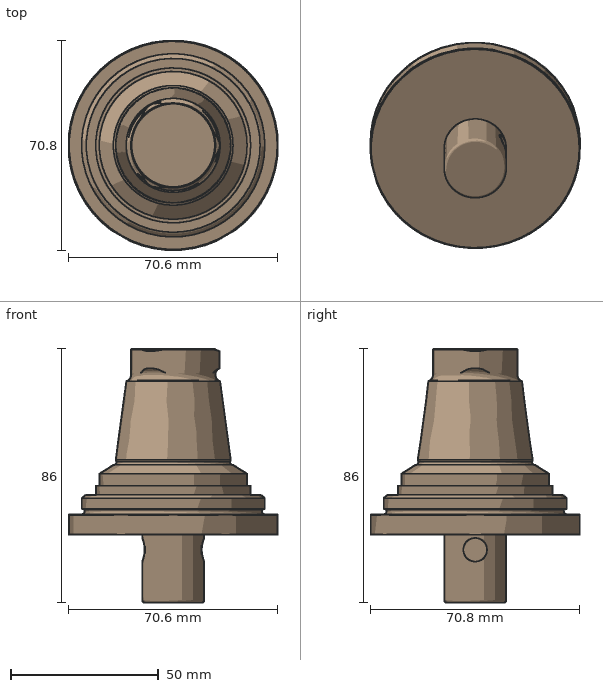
import cadquery as cq
import math


shank_radius = 10.5
shank_length = 23.0
shank_end_fillet = 1.0
dimple_diameter = 8.0
dimple_depth = 1.0
dimple_z = -5.0

flange_radius = 35.5
flange_thickness = 7.0
flange_chamfer = 0.3
main_flat_distance = 35.3
main_flat_angles = (0, 180, 240, 300)
side_flat_distance = 35.4
side_flat_angles = (90, 270)

neck_fillet = 1.0
collar_neck_radius = 60.1 / 2
collar_radius = 62.0 / 2
collar_bottom_z = 8.9
collar_undercut = 0.4
collar_top_z = 13.6
collar_bevel_width = 1.1
collar_bevel_height = 0.9
collar_lip_width = 0.5
collar_lip_height = 0.2
lower_step_radius = 52.4 / 2
lower_step_top_z = 16.7
upper_step_radius = 50.0 / 2
upper_step_top_z = 20.7
shoulder_top_z = 23.7

taper_neck_radius = 19.25
taper_bottom_radius = 19.5
taper_bottom_z = 25.4
taper_top_radius = 15.9
taper_top_z = 52.0
taper_edge_height = 0.25

groove_section_radius = 2.4
groove_floor_radius = 14.3
groove_z = 54.2

head_radius = 14.35
head_top_z = 63.0
head_edge_chamfer = 0.3
lobe_bevel_angle = 23.0
lobe_tip_radius = 15.7
lobe_nose_radius = 4.75
lobe_root_half_angle = 22.5
lobe_angles = (0, 120, 240)


def polar(radius, angle):
    """Point at a radius and an angle in degrees."""
    return radius * math.cos(math.radians(angle)), radius * math.sin(math.radians(angle))


def groove_radius_at(z):
    """Distance from the axis to the groove surface at a height."""
    reach = math.sqrt(groove_section_radius**2 - (z - groove_z) ** 2)
    return groove_floor_radius + groove_section_radius - reach


def make_shank():
    """Plain pin with a rounded end and a round dimple on each X side."""
    shank = cq.Workplane("XY").circle(shank_radius).extrude(-shank_length)
    shank = shank.faces("<Z").edges().fillet(shank_end_fillet)
    floor_x = shank_radius - dimple_depth
    cutter = cq.Workplane("YZ").center(0, dimple_z).circle(dimple_diameter / 2).extrude(2 * dimple_depth)
    for cutter_x, side_angle in ((floor_x, 0), (floor_x, 180)):
        dimple = cutter.translate((cutter_x, 0, 0)).rotate((0, 0, 0), (0, 0, 1), side_angle)
        shank = shank.cut(dimple)
    return shank


def cut_flat(body, distance, angle):
    """Trim the flange rim to a flat at a distance from the axis."""
    block = cq.Workplane("XY").box(
        flange_radius, flange_radius, flange_thickness, centered=(False, True, False)
    )
    return body.cut(block.translate((distance, 0, 0)).rotate((0, 0, 0), (0, 0, 1), angle))


def make_flange():
    """Disc with broken edges and shallow flats on its rim."""
    flange = cq.Workplane("XY").circle(flange_radius).extrude(flange_thickness)
    flange = flange.faces("<Z or >Z").edges().chamfer(flange_chamfer)
    for angle in main_flat_angles:
        flange = cut_flat(flange, main_flat_distance, angle)
    for angle in side_flat_angles:
        flange = cut_flat(flange, side_flat_distance, angle)
    return flange


def make_body():
    """Revolved collar, shoulder, taper and lower half of the groove."""
    fillet_dip = neck_fillet * (1 - math.sqrt(0.5))
    lip_radius = collar_radius - collar_bevel_width
    lip_z = collar_top_z - collar_lip_height
    groove_end_z = taper_top_z + taper_edge_height
    profile = (
        cq.Workplane("XZ")
        .moveTo(0, 0)
        .lineTo(collar_neck_radius + neck_fillet, 0)
        .lineTo(collar_neck_radius + neck_fillet, flange_thickness)
        .threePointArc(
            (collar_neck_radius + fillet_dip, flange_thickness + fillet_dip),
            (collar_neck_radius, flange_thickness + neck_fillet),
        )
        .lineTo(collar_neck_radius, collar_bottom_z - collar_undercut)
        .lineTo(collar_radius, collar_bottom_z)
        .lineTo(collar_radius, lip_z - collar_bevel_height)
        .lineTo(lip_radius, lip_z)
        .lineTo(lip_radius - collar_lip_width, collar_top_z)
        .lineTo(lower_step_radius, collar_top_z)
        .lineTo(lower_step_radius, lower_step_top_z)
        .lineTo(upper_step_radius, lower_step_top_z)
        .lineTo(upper_step_radius, upper_step_top_z)
        .lineTo(taper_neck_radius + neck_fillet, shoulder_top_z)
        .threePointArc(
            (taper_neck_radius + fillet_dip, shoulder_top_z + fillet_dip),
            (taper_neck_radius, shoulder_top_z + neck_fillet),
        )
        .lineTo(taper_bottom_radius, taper_bottom_z)
        .lineTo(taper_top_radius, taper_top_z)
        .lineTo(groove_radius_at(groove_end_z), groove_end_z)
        .threePointArc(
            (groove_radius_at((groove_end_z + groove_z) / 2), (groove_end_z + groove_z) / 2),
            (groove_floor_radius, groove_z),
        )
        .lineTo(0, groove_z)
        .close()
    )
    return profile.revolve(360, (0, 0, 0), (0, 1, 0))


def lobed_outline():
    """Closed outline of the head: a circle with three low lobes.

    Each lobe has a convex nose, and a concave flank on each side that is tangent
    to both the nose and the circle.
    """
    nose_center_radius = lobe_tip_radius - lobe_nose_radius
    root_angle = math.radians(lobe_root_half_angle)
    nose_reach = nose_center_radius * math.cos(root_angle)
    flank_radius = (
        nose_center_radius**2 + head_radius**2 - 2 * head_radius * nose_reach - lobe_nose_radius**2
    ) / (2 * (nose_reach + lobe_nose_radius - head_radius))
    flank_center_x, flank_center_y = polar(head_radius + flank_radius, lobe_root_half_angle)
    nose_end_angle = math.atan2(flank_center_y, flank_center_x - nose_center_radius)
    shoulder_x = nose_center_radius + lobe_nose_radius * math.cos(nose_end_angle)
    shoulder_y = lobe_nose_radius * math.sin(nose_end_angle)
    flank_middle_angle = (root_angle + nose_end_angle) / 2
    flank_x = flank_center_x - flank_radius * math.cos(flank_middle_angle)
    flank_y = flank_center_y - flank_radius * math.sin(flank_middle_angle)

    def on_lobe(x, y, lobe_angle):
        """Turn a point of the lobe on the X axis to another lobe."""
        return polar(math.hypot(x, y), math.degrees(math.atan2(y, x)) + lobe_angle)

    lobe_pitch = 360 / len(lobe_angles)
    outline = cq.Workplane("XY").moveTo(*polar(head_radius, lobe_angles[0] - lobe_root_half_angle))
    for angle in lobe_angles:
        outline = (
            outline.threePointArc(on_lobe(flank_x, -flank_y, angle), on_lobe(shoulder_x, -shoulder_y, angle))
            .threePointArc(polar(lobe_tip_radius, angle), on_lobe(shoulder_x, shoulder_y, angle))
            .threePointArc(on_lobe(flank_x, flank_y, angle), polar(head_radius, angle + lobe_root_half_angle))
            .threePointArc(
                polar(head_radius, angle + lobe_pitch / 2),
                polar(head_radius, angle + lobe_pitch - lobe_root_half_angle),
            )
        )
    return outline.close()


def make_head():
    """Lobed head, chamfered and beveled on top and hollowed below by the groove."""
    head = lobed_outline().extrude(head_top_z - groove_z).translate((0, 0, groove_z))
    tip_gap = groove_floor_radius + groove_section_radius - lobe_tip_radius
    groove_end_z = groove_z + math.sqrt(groove_section_radius**2 - tip_gap**2)
    groove_mid_z = (groove_z + groove_end_z) / 2
    chamfer_z = head_top_z - head_edge_chamfer
    lobe_drop = (lobe_tip_radius - head_radius) * math.tan(math.radians(lobe_bevel_angle))
    envelope = (
        cq.Workplane("XZ")
        .moveTo(0, groove_z)
        .lineTo(groove_floor_radius, groove_z)
        .threePointArc((groove_radius_at(groove_mid_z), groove_mid_z), (lobe_tip_radius, groove_end_z))
        .lineTo(lobe_tip_radius, chamfer_z - lobe_drop)
        .lineTo(head_radius, chamfer_z)
        .lineTo(head_radius - head_edge_chamfer, head_top_z)
        .lineTo(0, head_top_z)
        .close()
        .revolve(360, (0, 0, 0), (0, 1, 0))
    )
    return head.intersect(envelope)


result = make_flange().union(make_body()).union(make_shank()).union(make_head())